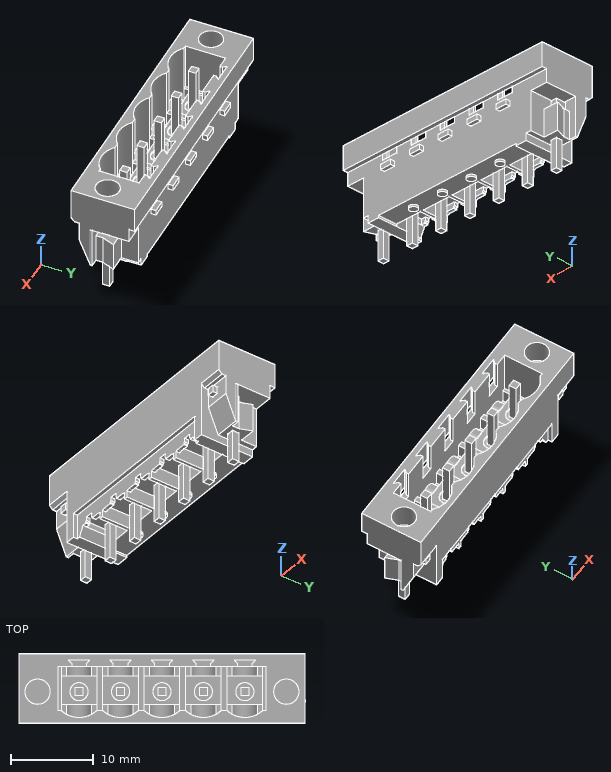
import cadquery as cq


contact_count = 5
anchor_spacing = 30.0
pitch = anchor_spacing / (contact_count + 1)
pin_size = 0.97
pin_y = 3.85
pin_bottom = -3.2
contact_top = 11.07
contact_xs = [(i - (contact_count - 1) / 2) * pitch for i in range(contact_count)]
rib_xs = [x + pitch / 2 for x in contact_xs[:-1]]
anchor_x = anchor_spacing / 2

total_length = 34.6
lip_reach = 0.07
half_length = (total_length - lip_reach) / 2
height = 12.0
band_depth = 8.45
body_depth = 7.68
band_bottom = 8.55
core_half_length = 13.7

end_bottom = 1.05
end_face_y = 1.07
end_roof = 7.15
roof_slope_y = 0.5
roof_slope_top = 7.65
end_slope_top = 4.53
end_slope_y = 2.53
niche_front = 2.85
niche_roof = 6.65
niche_inner_x = anchor_x - pin_size / 2
screw_hole_diameter = 3.05
screw_hole_depth = 3.45

ear_top = 4.98
ear_back = 5.43
ear_bend_y = 3.77
ear_front_x = 16.23
ear_back_x = 16.85

anchor_top = 6.55
anchor_tip_y = 0.4

socket_half_length = 12.55
socket_front = 1.55
socket_back = 6.9
cell_width = 4.3
scallop_front = 0.73
cell_floor = 3.6
rib_top = 5.55
pad_front = 2.3
pad_back = 5.75
pad_top = 5.25
bar_radius = 1.52
ring_diameter = 2.18
ring_depth = 0.2

groove_neck_width = 1.75
groove_width = 2.5
groove_neck_end = 7.23
groove_flare_end = 7.6
groove_floor = 7.75

nub_width = 1.73
nub_back = 8.35
nub_bottom = 6.02
nub_top = 6.75

recess_half_length = 12.35
recess_depth = 0.6
recess_top = 3.53
skirt_back = 1.15
chamber_back = 4.67
chamber_roof = 2.18
skirt_bottom = 1.35
end_flare_bottom_x = 11.9
end_flare_top_x = 11.2
rear_bottom = 0.3
skirt_rib_width = 0.52
shoulder_half_width = 0.65
shoulder_bottom = 1.25
notch_half_width = 0.65
notch_top = 1.65
notch_chamfer = 0.15
foot_diameter = 1.25
foot_y = 6.05


def box(x0, x1, y0, y1, z0, z1):
    """Block between two opposite corners."""
    return cq.Workplane("XY").box(x1 - x0, y1 - y0, z1 - z0, centered=False).translate((x0, y0, z0))


def extrude_x(points, x0, x1):
    """Prism of a (y, z) outline between two X positions."""
    return cq.Workplane("YZ").workplane(offset=x0).polyline(points).close().extrude(x1 - x0)


def extrude_y(points, y0, y1):
    """Prism of an (x, z) outline between two Y positions."""
    return cq.Workplane("XZ", origin=(0, y0, 0)).polyline(points).close().extrude(y0 - y1)


def extrude_z(points, z0, z1):
    """Prism of an (x, y) outline between two Z positions."""
    return cq.Workplane("XY", origin=(0, 0, z0)).polyline(points).close().extrude(z1 - z0)


def square_post(x, z0, z1):
    """Upright square pin of the contact row."""
    half = pin_size / 2
    return box(x - half, x + half, pin_y - half, pin_y + half, z0, z1)


def make_contact(x):
    """Straight contact from the solder end to the plug end."""
    return square_post(x, pin_bottom, contact_top)


def make_anchor(x):
    """L-shaped anchor: an upright post with an arm reaching out through the front."""
    half = pin_size / 2
    arm = box(x - half, x + half, anchor_tip_y, pin_y, anchor_top - pin_size, anchor_top)
    return square_post(x, pin_bottom, anchor_top).union(arm)


def make_core():
    """Middle of the housing, full height between the two end blocks."""
    outline = [
        (0, 0),
        (body_depth, 0),
        (body_depth, band_bottom),
        (band_depth, band_bottom),
        (band_depth, height),
        (0, height),
    ]
    return extrude_x(outline, -core_half_length, core_half_length)


def make_end_block():
    """End block on the +X side, with its niche and ear."""
    outline = [
        (end_slope_y, end_bottom),
        (body_depth, end_bottom),
        (body_depth, band_bottom),
        (band_depth, band_bottom),
        (band_depth, height),
        (0, height),
        (0, roof_slope_top),
        (roof_slope_y, end_roof),
        (end_face_y, end_roof),
        (end_face_y, end_slope_top),
    ]
    block = extrude_x(outline, core_half_length, half_length)
    block = block.cut(box(niche_inner_x, half_length, niche_front, body_depth, end_bottom, niche_roof))
    ear = [
        (niche_inner_x, niche_front),
        (ear_front_x, niche_front),
        (ear_front_x, ear_bend_y),
        (ear_back_x, ear_back),
        (niche_inner_x, ear_back),
    ]
    return block.union(extrude_z(ear, end_bottom, ear_top))


def screw_hole_space(x):
    """Blind screw hole in a flange."""
    rim = cq.Workplane("XY", origin=(x, pin_y, height)).circle(screw_hole_diameter / 2)
    return rim.extrude(-screw_hole_depth)


def make_lip():
    """Small wedge on the outer edge of the +X end block, in front of the niche."""
    outline = [
        (half_length, end_slope_y),
        (half_length + lip_reach, niche_front),
        (half_length, niche_front),
    ]
    return extrude_z(outline, end_bottom, niche_roof)


def cell_space(x):
    """Space of one plug cell, with a bowed front wall."""
    half = cell_width / 2
    return (
        cq.Workplane("XY", origin=(x, 0, cell_floor))
        .moveTo(-half, socket_back)
        .lineTo(-half, socket_front)
        .threePointArc((0, scallop_front), (half, socket_front))
        .lineTo(half, socket_back)
        .close()
        .extrude(height - cell_floor)
    )


def make_cell_floor(x):
    """Half-round bar from front to back, crossed by the pad that holds the contact."""
    bar = (
        cq.Workplane("XZ", origin=(x, scallop_front, cell_floor))
        .moveTo(-bar_radius, 0)
        .threePointArc((0, bar_radius), (bar_radius, 0))
        .close()
        .extrude(scallop_front - socket_back)
    )
    half = cell_width / 2
    pad = box(x - half, x + half, pad_front, pad_back, cell_floor, pad_top)
    ring = (
        cq.Workplane("XY", origin=(x, pin_y, pad_top)).circle(ring_diameter / 2).extrude(-ring_depth)
    )
    return bar.union(pad).cut(ring)


def groove_space(x):
    """Dovetail coding groove, open to the back below the flange band."""
    neck = groove_neck_width / 2
    wide = groove_width / 2
    outline = [
        (x - neck, socket_back),
        (x - neck, groove_neck_end),
        (x - wide, groove_flare_end),
        (x - wide, body_depth),
        (x + wide, body_depth),
        (x + wide, groove_flare_end),
        (x + neck, groove_neck_end),
        (x + neck, socket_back),
    ]
    return extrude_z(outline, groove_floor, height)


def notch_space(x):
    """Stepped slot in the front skirt, through which the contact is put in."""
    half = pin_size / 2
    outline = [
        (x - notch_half_width, 0),
        (x - notch_half_width, notch_top - notch_chamfer),
        (x - notch_half_width + notch_chamfer, notch_top),
        (x - half, notch_top),
        (x - half, chamber_roof),
        (x + half, chamber_roof),
        (x + half, notch_top),
        (x + notch_half_width - notch_chamfer, notch_top),
        (x + notch_half_width, notch_top - notch_chamfer),
        (x + notch_half_width, 0),
    ]
    return extrude_y(outline, recess_depth, skirt_back)


def make_skirt_rib(x):
    """Rib across the underside chamber, with sloped shoulders at the front skirt."""
    half = skirt_rib_width / 2
    rib = box(x - half, x + half, recess_depth, chamber_back, rear_bottom, chamber_roof)
    shoulder = [
        (x - shoulder_half_width, skirt_bottom),
        (x - half, shoulder_bottom),
        (x + half, shoulder_bottom),
        (x + shoulder_half_width, skirt_bottom),
    ]
    return rib.union(extrude_y(shoulder, recess_depth, skirt_back))


def shape_underside(body):
    """Front recess, skirt, contact chamber, ribs and feet."""
    body = body.cut(box(-recess_half_length, recess_half_length, 0, recess_depth, 0, recess_top))
    skirt_gap = [
        (-end_flare_bottom_x, 0),
        (-end_flare_top_x, skirt_bottom),
        (end_flare_top_x, skirt_bottom),
        (end_flare_bottom_x, 0),
    ]
    body = body.cut(extrude_y(skirt_gap, recess_depth, chamber_back))
    body = body.cut(box(-end_flare_top_x, end_flare_top_x, skirt_back, chamber_back, 0, chamber_roof))
    rear_gap = box(-end_flare_bottom_x, end_flare_bottom_x, chamber_back, body_depth, 0, rear_bottom)
    body = body.cut(rear_gap)
    for x in contact_xs:
        body = body.cut(notch_space(x))
    for x in rib_xs:
        foot = cq.Workplane("XY", origin=(x, foot_y, 0)).circle(foot_diameter / 2).extrude(rear_bottom)
        body = body.union(make_skirt_rib(x)).union(foot)
    return body


def shape_socket(body):
    """Plug socket with its cells, coding grooves and latch nubs."""
    body = body.cut(
        box(-socket_half_length, socket_half_length, socket_front, socket_back, rib_top, height)
    )
    for x in contact_xs:
        nub = box(x - nub_width / 2, x + nub_width / 2, socket_back, nub_back, nub_bottom, nub_top)
        body = body.cut(cell_space(x)).union(make_cell_floor(x)).cut(groove_space(x)).union(nub)
    return body


def make_housing(inserts):
    """Housing with a close-fitting passage for every contact and anchor."""
    end_block = make_end_block()
    body = make_core().union(end_block).union(end_block.mirror("YZ")).union(make_lip())
    body = shape_underside(shape_socket(body))
    for x in (-anchor_x, anchor_x):
        body = body.cut(screw_hole_space(x))
    for insert in inserts:
        body = body.cut(insert)
    return body


contacts = [make_contact(x) for x in contact_xs]
anchors = [make_anchor(x) for x in (-anchor_x, anchor_x)]
housing = make_housing(contacts + anchors)

result = cq.Compound.makeCompound(
    [housing.val(), *[contact.val() for contact in contacts], *[anchor.val() for anchor in anchors]]
)